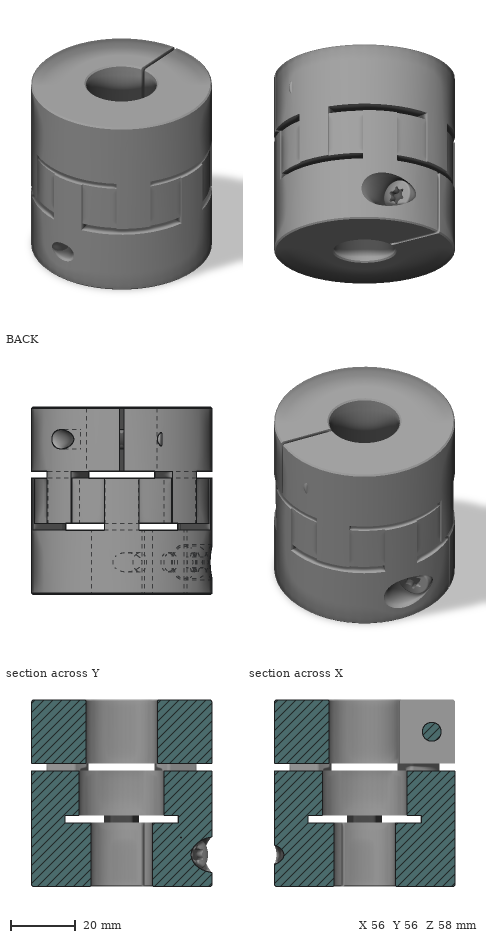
import cadquery as cq
import math


LENGTH = 58.0
OUTER_RADIUS = 28.0
EDGE_CHAMFER = 0.45
OVERSIZE = 5.8

SPIDER_HEIGHT = 14.05
SPIDER_RADIUS = 27.5
SPIDER_BORE = 26.2
AXIAL_GAP = 2.1

HUB_HEIGHT = (LENGTH - SPIDER_HEIGHT) / 2 - AXIAL_GAP
LOWER_BORE = 18.9
UPPER_BORE = 22.0
SLIT_WIDTH = 1.3
JAW_COUNT = 4
JAW_WIDTH = 10.75
JAW_INNER_RADIUS = 17.5
JAW_FILLET = 1.0
JAW_PITCH = 360 / JAW_COUNT
JAW_HEIGHT = AXIAL_GAP + SPIDER_HEIGHT
JAW_HALF_ANGLE = math.degrees(math.asin(JAW_WIDTH / 2 / OUTER_RADIUS))

SCREW_OFFSET = 20.75
SCREW_Z = HUB_HEIGHT / 2
SHANK_DIAMETER = 6.0
SHANK_TIP = 12.8
HEAD_DIAMETER = 10.0
HEAD_HEIGHT = 6.0
HEAD_FACE = 12.45
HEAD_FILLET = 0.5
HEAD_SEAT = HEAD_FACE - HEAD_HEIGHT
POCKET_DIAMETER = 11.0

LOBE_COUNT = 6
LOBE_PITCH = 360 / LOBE_COUNT
LOBE_TIP_RADIUS = 2.9
LOBE_FLANK_RADIUS = 2.55
LOBE_VALLEY_RADIUS = 2.05
LOBE_HALF_ANGLE = 11.0
SOCKET_DEPTH = 2.4


def polar(radius, angle):
    return (radius * math.cos(math.radians(angle)), radius * math.sin(math.radians(angle)))


def jaw_wedge():
    """Wedge pointing along +X that outlines one jaw and reaches past the outer surface."""
    tip_radius = OUTER_RADIUS + OVERSIZE
    side_inner = polar(JAW_INNER_RADIUS, JAW_HALF_ANGLE)
    side_outer = polar(tip_radius, JAW_HALF_ANGLE)
    wedge = (
        cq.Workplane("XY", origin=(0, 0, HUB_HEIGHT))
        .moveTo(side_inner[0], -side_inner[1])
        .lineTo(side_outer[0], -side_outer[1])
        .lineTo(*side_outer)
        .lineTo(*side_inner)
        .threePointArc((JAW_INNER_RADIUS, 0), (side_inner[0], -side_inner[1]))
        .close()
        .extrude(JAW_HEIGHT)
    )
    return wedge.edges("|Z").edges("<X").fillet(JAW_FILLET)


def jaw_clearance():
    """Everything above the hub body except the jaws."""
    clearance = (
        cq.Workplane("XY", origin=(0, 0, HUB_HEIGHT)).circle(OUTER_RADIUS + OVERSIZE).extrude(JAW_HEIGHT)
    )
    for index in range(JAW_COUNT):
        clearance = clearance.cut(jaw_wedge().rotate((0, 0, 0), (0, 0, 1), (index + 0.5) * JAW_PITCH))
    return clearance


def screw_cylinder(diameter, start, end):
    """Cylinder on the screw axis; positions are measured from the slit towards the head."""
    plane = cq.Plane(origin=(SCREW_OFFSET, -start, SCREW_Z), xDir=(0, 0, 1), normal=(0, -1, 0))
    return cq.Workplane(plane).circle(diameter / 2).extrude(end - start)


def drive_socket():
    """Six-lobed prism sunk into the outer face of the screw head."""
    plane = cq.Plane(origin=(SCREW_OFFSET, -HEAD_FACE, SCREW_Z), xDir=(0, 0, 1), normal=(0, -1, 0))
    outline = cq.Workplane(plane).moveTo(*polar(LOBE_FLANK_RADIUS, -LOBE_HALF_ANGLE))
    for lobe in range(LOBE_COUNT):
        angle = lobe * LOBE_PITCH
        outline = outline.threePointArc(
            polar(LOBE_TIP_RADIUS, angle),
            polar(LOBE_FLANK_RADIUS, angle + LOBE_HALF_ANGLE),
        )
        outline = outline.threePointArc(
            polar(LOBE_VALLEY_RADIUS, angle + LOBE_PITCH / 2),
            polar(LOBE_FLANK_RADIUS, angle + LOBE_PITCH - LOBE_HALF_ANGLE),
        )
    return outline.close().extrude(-SOCKET_DEPTH)


def screw():
    """Socket-head screw whose shank bridges the slit."""
    head = screw_cylinder(HEAD_DIAMETER, HEAD_SEAT, HEAD_FACE).faces("<Y").edges().fillet(HEAD_FILLET)
    shank = screw_cylinder(SHANK_DIAMETER, -SHANK_TIP, HEAD_SEAT)
    return head.cut(drive_socket()).union(shank)


def hub(bore, open_pocket):
    """Clamping hub with its screw; without an open pocket the head is embedded in the hub."""
    body = (
        cq.Workplane("XY")
        .circle(OUTER_RADIUS)
        .circle(bore / 2)
        .extrude(HUB_HEIGHT + JAW_HEIGHT)
        .faces("<Z")
        .edges()
        .chamfer(EDGE_CHAMFER)
    )
    body = body.cut(jaw_clearance())
    slit = cq.Workplane("XY").box(
        OUTER_RADIUS + OVERSIZE, SLIT_WIDTH, HUB_HEIGHT, centered=(False, True, False)
    )
    body = body.cut(slit)
    body = body.cut(screw_cylinder(SHANK_DIAMETER, -OUTER_RADIUS, -SHANK_TIP))
    if open_pocket:
        body = body.cut(screw_cylinder(POCKET_DIAMETER, HEAD_SEAT, OUTER_RADIUS))
    return body.union(screw())


def spider():
    """Elastic ring whose legs fill the spaces between the jaws."""
    return (
        cq.Workplane("XY", origin=(0, 0, HUB_HEIGHT + AXIAL_GAP))
        .circle(SPIDER_RADIUS)
        .circle(SPIDER_BORE / 2)
        .extrude(SPIDER_HEIGHT)
    )


LOWER_SLIT_ANGLE = 225
UPPER_SLIT_ANGLE = 90

lower_hub = hub(LOWER_BORE, open_pocket=True).rotate((0, 0, 0), (0, 0, 1), LOWER_SLIT_ANGLE)
upper_hub = (
    hub(UPPER_BORE, open_pocket=False)
    .rotate((0, 0, 0), (1, 0, 0), 180)
    .rotate((0, 0, 0), (0, 0, 1), UPPER_SLIT_ANGLE)
    .translate((0, 0, LENGTH))
)

result = lower_hub.union(spider()).union(upper_hub)